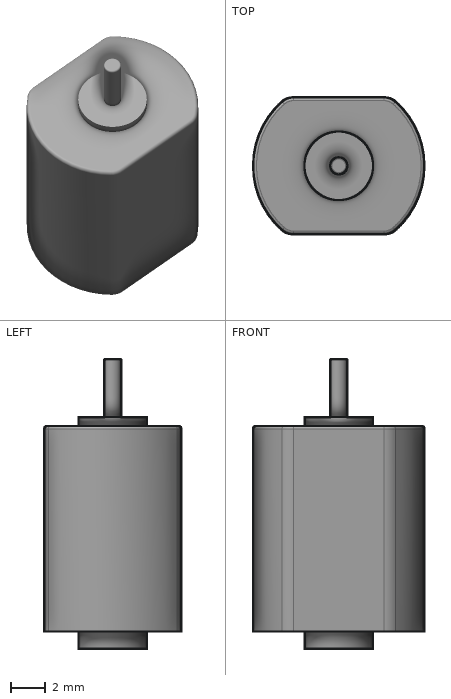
import cadquery as cq

can_diameter = 10.0
can_width_across_flats = 8.0
can_height = 12.0
can_corner_radius = 1.0
can_top_edge_radius = 0.2

boss_diameter = 4.0
top_boss_height = 0.5
bottom_boss_height = 1.0

shaft_diameter = 1.0
shaft_length = 3.4
shaft_tip_radius = 0.1


def make_can():
    """Flatted cylinder with rounded vertical corners and a rounded top rim."""
    cylinder = cq.Workplane("XY").circle(can_diameter / 2).extrude(can_height)
    flats = cq.Workplane("XY").rect(can_diameter, can_width_across_flats).extrude(can_height)
    can = cylinder.intersect(flats)
    corner_edges = can.faces("<Y or >Y").edges("|Z")
    can = corner_edges.fillet(can_corner_radius)
    return can.faces(">Z").edges().fillet(can_top_edge_radius)


def make_disc(diameter, base_z, height):
    """Round disc on the motor axis, rising from base_z."""
    return cq.Workplane("XY").workplane(offset=base_z).circle(diameter / 2).extrude(height)


def make_shaft():
    """Output shaft standing on the top boss, with a rounded tip."""
    shaft = make_disc(shaft_diameter, can_height + top_boss_height, shaft_length)
    return shaft.faces(">Z").edges().fillet(shaft_tip_radius)


top_boss = make_disc(boss_diameter, can_height, top_boss_height)
bottom_boss = make_disc(boss_diameter, -bottom_boss_height, bottom_boss_height)

result = make_can().union(bottom_boss).union(top_boss).union(make_shaft())